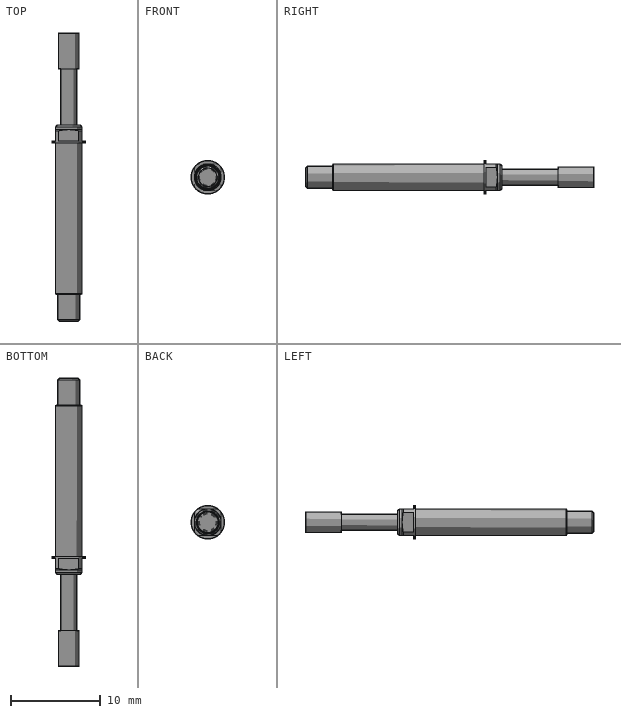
import cadquery as cq


overall_length = 32.3
rear_pin_length = 3.0
flange_rear = 20.0
flange_thickness = 0.2
square_front = 21.48
barrel_front = 22.03
tip_length = 4.0

rear_pin_diameter = 2.52
barrel_diameter = 3.0
flange_diameter = 3.75
plunger_diameter = 1.85
tip_diameter = 2.33

rear_pin_chamfer = 0.23
barrel_rear_chamfer = 0.13
barrel_front_chamfer = 0.23
square_bevel_length = 0.13

across_flats = barrel_diameter


def cylinder(diameter, start, end):
    """Round bar on the Y axis between two stations."""
    return cq.Workplane("XZ", origin=(0, start, 0)).circle(diameter / 2).extrude(start - end)


def make_rear_pin():
    pin = cylinder(rear_pin_diameter, 0, rear_pin_length)
    return pin.faces("<Y").chamfer(rear_pin_chamfer)


def make_barrel():
    barrel = cylinder(barrel_diameter, rear_pin_length, barrel_front)
    barrel = barrel.faces("<Y").chamfer(barrel_rear_chamfer)
    return barrel.faces(">Y").chamfer(barrel_front_chamfer)


def make_flange():
    return cylinder(flange_diameter, flange_rear, flange_rear + flange_thickness)


def make_square():
    """Four-sided wrench section with round corners and a conical front bevel."""
    flange_front = flange_rear + flange_thickness
    corner_radius = flange_diameter / 2
    bevel_front_radius = barrel_diameter / 2
    blank = (
        cq.Workplane("XY")
        .moveTo(0, flange_front)
        .lineTo(corner_radius, flange_front)
        .lineTo(corner_radius, square_front - square_bevel_length)
        .lineTo(bevel_front_radius, square_front)
        .lineTo(0, square_front)
        .close()
        .revolve(360, (0, 0, 0), (0, 1, 0))
    )
    prism = (
        cq.Workplane("XZ", origin=(0, flange_front, 0))
        .rect(across_flats, across_flats)
        .extrude(flange_front - square_front)
    )
    return blank.intersect(prism)


def make_plunger():
    tip_start = overall_length - tip_length
    shaft = cylinder(plunger_diameter, barrel_front, tip_start)
    return shaft.union(cylinder(tip_diameter, tip_start, overall_length))


result = (
    make_rear_pin()
    .union(make_barrel())
    .union(make_flange())
    .union(make_square())
    .union(make_plunger())
)